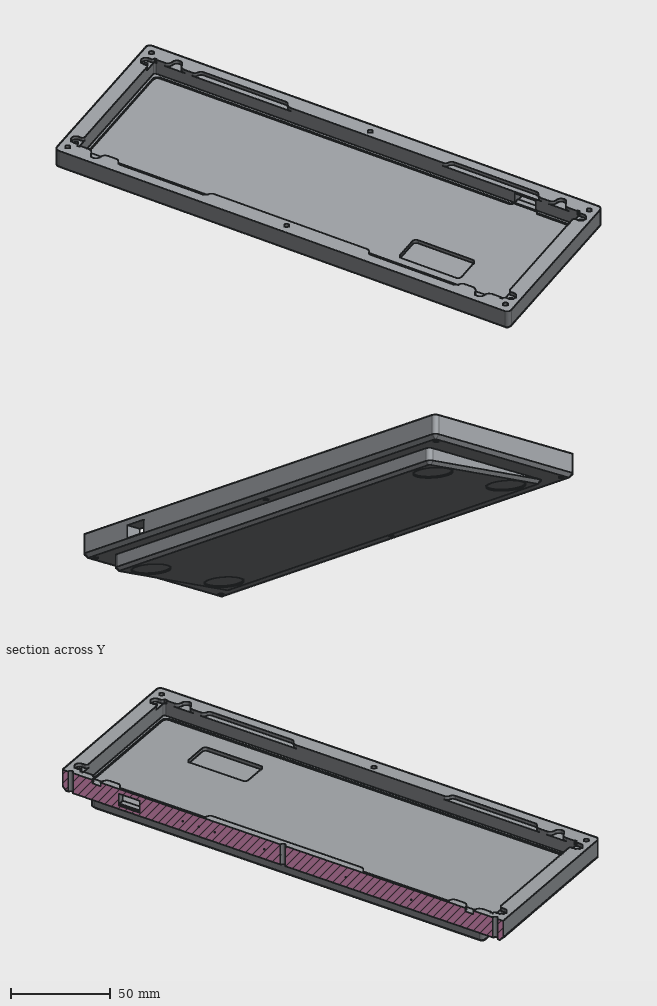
import cadquery as cq
import math

LENGTH = 262.0
WIDTH = 95.3
HEIGHT = 20.7
TRAY_DEPTH = 12.3
TRAY_CORNER = 2.4
TRAY_CHAMFER = 2.0

CAVITY_LENGTH = 245.0
CAVITY_WIDTH = 78.0
CAVITY_CORNER = 1.0
LEDGE_DEPTH = 9.2
LEDGE_WIDTH = 1.5
FLOOR_DEPTH = 10.0
FLOOR_CORNER = 3.0

NOTCH_DEPTH = 2.0
TAB_X = 110.8
TAB_WIDTH = 5.2
TAB_REACH = 5.0
TAB_MOUTH = 3.1
LONG_NOTCH_X = 72.3
LONG_NOTCH_WIDTH = 51.9
LONG_NOTCH_REACH = 3.1
LONG_NOTCH_ROUNDING = 2.5
SEAT_DIAMETER = 5.2
SEAT_X = 125.5
SEAT_Y = 35.5
SEAT_MOUTH = 1.3
NOTCH_OVERLAP = 1.3
TINY = 2.62e-06

RIM_HOLE_DIAMETER = 2.5
RIM_HOLE_X = 126.2
RIM_HOLE_Y = 42.7
SEAT_HOLE_DIAMETER = 2.07
SEAT_HOLE_DEPTH = 5.2

POCKET_LENGTH = 35.4
POCKET_WIDTH = 16.5
POCKET_X = 72.8
POCKET_Y = -18.0
POCKET_DEPTH = 2.0
POCKET_CORNER = 2.0

PORT_X = 91.5
PORT_WIDTH = 12.0
PORT_SILL = 3.1
PORT_ROOF = 1.0
PORT_FLARE = 1.0

FOOT_LENGTH = 234.0
FOOT_WIDTH = 78.0
FOOT_TILT = 5.0
FOOT_CORNER = 2.5
FOOT_CHAMFER = 1.8
PAD_DIAMETER = 20.0
PAD_DEPTH = 0.8
PAD_X = 104.5
PAD_Y = 25.0

TRAY_BOTTOM = HEIGHT - TRAY_DEPTH
LEDGE_Z = HEIGHT - LEDGE_DEPTH
FLOOR_Z = HEIGHT - FLOOR_DEPTH
NOTCH_Z = HEIGHT - NOTCH_DEPTH
TILT = math.radians(FOOT_TILT)
MIRRORS = [(sx, sy) for sx in (-1, 1) for sy in (-1, 1)]


def rounded_block(length, width, bottom, top, corner):
    """Block centred on Z with rounded vertical edges."""
    block = cq.Workplane("XY").workplane(offset=bottom).rect(length, width).extrude(top - bottom)
    return block.edges("|Z").fillet(corner)


def wall_notch(width, reach, mouth, inner, bottom, top):
    """Notch reaching along +Y from a wall at Y=0.

    Each side is an S of two tangent arcs, convex at the mouth and concave at the inner end.
    Where the arcs are short enough to turn a quarter, a straight stretch joins them.
    """
    turn = math.acos(max(0, 1 - reach / (mouth + inner)))
    half = width / 2
    mouth_x = half + mouth * math.sin(turn)
    mouth_mid = (mouth_x - mouth * math.sin(turn / 2), mouth * (1 - math.cos(turn / 2)))
    mouth_end = (half, mouth * (1 - math.cos(turn)))
    inner_x = half - inner * math.sin(turn)
    inner_mid = (inner_x + inner * math.sin(turn / 2), reach - inner * (1 - math.cos(turn / 2)))
    inner_start = (half, reach - inner * (1 - math.cos(turn)))

    profile = (
        cq.Workplane("XY")
        .workplane(offset=bottom)
        .moveTo(0, -NOTCH_OVERLAP)
        .lineTo(mouth_x, -NOTCH_OVERLAP)
        .lineTo(mouth_x, 0)
        .threePointArc(mouth_mid, mouth_end)
    )
    if inner_start[1] - mouth_end[1] > TINY:
        profile = profile.lineTo(*inner_start)
    profile = profile.threePointArc(inner_mid, (inner_x, reach))
    if inner_x > TINY:
        profile = profile.lineTo(0, reach)
    half_notch = profile.close().extrude(top - bottom)
    return half_notch.union(half_notch.mirror("YZ"))


def foot_block():
    half = FOOT_WIDTH / 2
    rear_z = -FOOT_CHAMFER * math.sin(TILT)
    front_z = rear_z + FOOT_WIDTH * math.tan(TILT)
    top = TRAY_BOTTOM + FOOT_CHAMFER
    block = (
        cq.Workplane("YZ")
        .polyline([(half, rear_z), (half, top), (-half, top), (-half, front_z)])
        .close()
        .extrude(FOOT_LENGTH / 2, both=True)
    )
    block = block.edges("|Z").fillet(FOOT_CORNER)
    block = block.faces("<Z").chamfer(FOOT_CHAMFER)

    middle_z = (rear_z + front_z) / 2
    underside = cq.Workplane(
        cq.Plane(origin=(0, 0, middle_z), xDir=(1, 0, 0), normal=(0, math.sin(TILT), math.cos(TILT)))
    )
    pad_spots = [(sx * PAD_X, sy * PAD_Y / math.cos(TILT)) for sx, sy in MIRRORS]
    return block.cut(underside.pushPoints(pad_spots).circle(PAD_DIAMETER / 2).extrude(PAD_DEPTH))


def tray_body():
    body = rounded_block(LENGTH, WIDTH, TRAY_BOTTOM, HEIGHT, TRAY_CORNER)
    return body.faces("<Z").chamfer(TRAY_CHAMFER)


def cavity():
    upper = rounded_block(CAVITY_LENGTH, CAVITY_WIDTH, LEDGE_Z, HEIGHT, CAVITY_CORNER)
    lower = rounded_block(
        CAVITY_LENGTH - 2 * LEDGE_WIDTH, CAVITY_WIDTH - 2 * LEDGE_WIDTH, FLOOR_Z, HEIGHT, FLOOR_CORNER
    )
    pocket = rounded_block(POCKET_LENGTH, POCKET_WIDTH, FLOOR_Z - POCKET_DEPTH, FLOOR_Z, POCKET_CORNER)
    return upper.union(lower).union(pocket.translate((POCKET_X, POCKET_Y, 0)))


def rim_notches():
    tab = wall_notch(TAB_WIDTH, TAB_REACH, TAB_MOUTH, TAB_WIDTH / 2, NOTCH_Z, HEIGHT)
    long_notch = wall_notch(
        LONG_NOTCH_WIDTH, LONG_NOTCH_REACH, LONG_NOTCH_ROUNDING, LONG_NOTCH_ROUNDING, NOTCH_Z, HEIGHT
    )
    seat_reach = SEAT_X + SEAT_DIAMETER / 2 - CAVITY_LENGTH / 2
    seat = wall_notch(SEAT_DIAMETER, seat_reach, SEAT_MOUTH, SEAT_DIAMETER / 2, NOTCH_Z, HEIGHT)

    origin = (0, 0, 0)
    up = (0, 0, 1)
    cuts = cq.Workplane("XY")
    for sx, sy in MIRRORS:
        facing = 0 if sy > 0 else 180
        for notch, x in ((tab, TAB_X), (long_notch, LONG_NOTCH_X)):
            cuts = cuts.add(notch.rotate(origin, up, facing).translate((sx * x, sy * CAVITY_WIDTH / 2, 0)))
        cuts = cuts.add(
            seat.rotate(origin, up, -90 * sx).translate((sx * CAVITY_LENGTH / 2, sy * SEAT_Y, 0))
        )
    return cuts.combine()


def port():
    """Opening through the rear wall under the long notch, with a gap in the ledge before it."""
    wall_y = CAVITY_WIDTH / 2
    roof_z = NOTCH_Z - PORT_ROOF
    gap_width = PORT_WIDTH + 2 * PORT_FLARE
    gap = wall_notch(gap_width, LEDGE_WIDTH, PORT_FLARE, PORT_FLARE, FLOOR_Z, LEDGE_Z)
    gap = gap.translate((PORT_X, wall_y - LEDGE_WIDTH, 0))

    def passage(start_y, end_y, bottom):
        block = cq.Workplane("XY").box(
            PORT_WIDTH, end_y - start_y, roof_z - bottom, centered=(True, False, False)
        )
        return block.translate((PORT_X, start_y, bottom))

    sill_end_y = wall_y + PORT_SILL
    sill = passage(wall_y, sill_end_y, LEDGE_Z)
    outlet = passage(sill_end_y, WIDTH / 2, FLOOR_Z)
    return gap.union(sill).union(outlet)


def holes():
    rim_spots = [(x, sy * RIM_HOLE_Y) for x in (-RIM_HOLE_X, 0, RIM_HOLE_X) for sy in (-1, 1)]
    seat_spots = [(sx * SEAT_X, sy * SEAT_Y) for sx, sy in MIRRORS]
    rim_holes = cq.Workplane("XY").pushPoints(rim_spots).circle(RIM_HOLE_DIAMETER / 2).extrude(HEIGHT)
    seat_holes = (
        cq.Workplane("XY")
        .workplane(offset=NOTCH_Z - SEAT_HOLE_DEPTH)
        .pushPoints(seat_spots)
        .circle(SEAT_HOLE_DIAMETER / 2)
        .extrude(SEAT_HOLE_DEPTH)
    )
    return rim_holes.union(seat_holes)


result = tray_body().union(foot_block())
result = result.cut(cavity()).cut(rim_notches()).cut(port()).cut(holes())